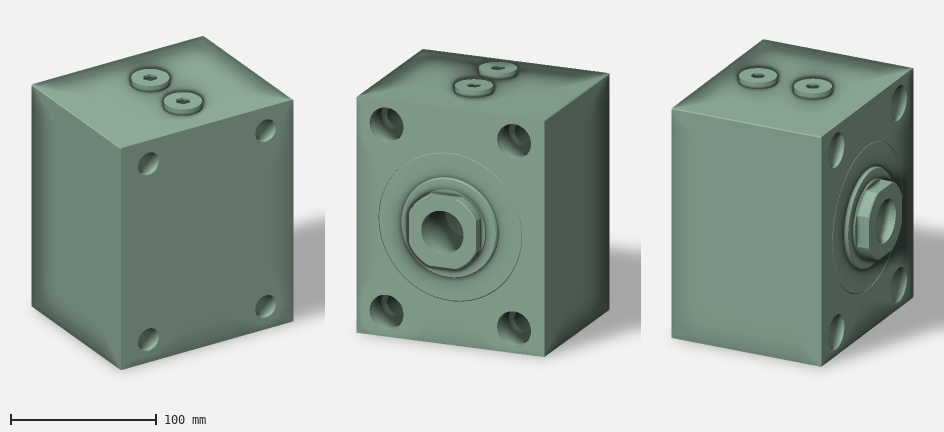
import cadquery as cq
import math


block_depth = 115.0
block_width = 140.0
block_height = 170.5
axis_height = 85.0
edge_chamfer = 0.7

bolt_spacing_y = 95.0
bolt_spacing_z = 135.0
bolt_hole_diameter = 17.0
counterbore_diameter = 25.2
counterbore_depth = 21.0

flange_diameter = 107.0
flange_depth = 21.0
flange_chamfer = 0.7
boss_diameter = 71.7
boss_height = 3.0
boss_chamfer_length = 1.4
boss_chamfer_width = 0.7

rod_diameter = 56.0
rod_protrusion = 14.0
rod_insertion = 70.0
neck_diameter = 55.0
neck_length = 9.5
neck_chamfer = 0.7
across_flats = 49.8
rod_bore_diameter = 31.5
rod_bore_depth = 42.0
drill_point_angle = 118.0

plug_diameter = 26.2
plug_height = 4.4
plug_spacing = 42.2
first_plug_x = 41.8
plug_seat_diameter = 28.0
plug_seat_depth = 0.5
hex_across_flats = 9.3
hex_depth = 3.0

block_top = block_height - axis_height
plug_seat_z = block_top - plug_seat_depth
plug_count = 2
plug_positions = [(first_plug_x + i * plug_spacing, 0) for i in range(plug_count)]


def x_cylinder(diameter, x_start, x_end):
    """Cylinder on the rod axis between two X positions."""
    return cq.Workplane("YZ", origin=(x_start, 0, 0)).circle(diameter / 2).extrude(x_end - x_start)


def make_housing():
    bottom_center = (block_depth / 2, 0, -axis_height)
    block = cq.Workplane("XY", origin=bottom_center).rect(block_depth, block_width).extrude(block_height)
    block = block.faces(">Z").edges("|X").chamfer(edge_chamfer)

    bolts = cq.Workplane("YZ").rarray(bolt_spacing_y, bolt_spacing_z, 2, 2)
    block = block.cut(bolts.circle(bolt_hole_diameter / 2).extrude(block_depth))
    block = block.cut(bolts.circle(counterbore_diameter / 2).extrude(counterbore_depth))

    block = block.cut(x_cylinder(flange_diameter, 0, flange_depth))
    block = block.cut(x_cylinder(rod_diameter, 0, rod_insertion))

    seats = cq.Workplane("XY", origin=(0, 0, plug_seat_z)).pushPoints(plug_positions)
    return block.cut(seats.circle(plug_seat_diameter / 2).extrude(plug_seat_depth))


def make_gland():
    flange = x_cylinder(flange_diameter, 0, flange_depth).faces("<X").chamfer(flange_chamfer)
    boss_radius = boss_diameter / 2
    boss = (
        cq.Workplane("XY")
        .moveTo(flange_depth, 0)
        .lineTo(-boss_height, 0)
        .lineTo(-boss_height, boss_radius - boss_chamfer_width)
        .lineTo(-boss_height + boss_chamfer_length, boss_radius)
        .lineTo(flange_depth, boss_radius)
        .close()
        .revolve(360, (0, 0, 0), (1, 0, 0))
    )
    return flange.union(boss).cut(x_cylinder(rod_diameter, -boss_height, flange_depth))


def make_rod():
    tip_x = -rod_protrusion
    shoulder_x = tip_x + neck_length
    shaft = x_cylinder(rod_diameter, shoulder_x, rod_insertion)

    neck = x_cylinder(neck_diameter, tip_x, shoulder_x).faces("<X").chamfer(neck_chamfer)
    flats = cq.Workplane("YZ", origin=(tip_x, 0, 0)).rect(across_flats, across_flats).extrude(neck_length)
    rod = shaft.union(neck.intersect(flats))

    bore_radius = rod_bore_diameter / 2
    point_length = bore_radius / math.tan(math.radians(drill_point_angle / 2))
    bore = (
        cq.Workplane("XY")
        .moveTo(tip_x, 0)
        .lineTo(tip_x, bore_radius)
        .lineTo(tip_x + rod_bore_depth, bore_radius)
        .lineTo(tip_x + rod_bore_depth + point_length, 0)
        .close()
        .revolve(360, (0, 0, 0), (1, 0, 0))
    )
    return rod.cut(bore)


def make_plug(x, y):
    plug_top = block_top + plug_height
    disc = cq.Workplane("XY", origin=(x, y, plug_seat_z)).circle(plug_diameter / 2)
    disc = disc.extrude(plug_top - plug_seat_z)
    corner_diameter = hex_across_flats / math.cos(math.pi / 6)
    socket = (
        cq.Workplane("XY", origin=(x, y, plug_top))
        .transformed(rotate=(0, 0, 90))
        .polygon(6, corner_diameter)
        .extrude(-hex_depth)
    )
    return disc.cut(socket)


housing = make_housing()
gland = make_gland()
rod = make_rod()
plugs = [make_plug(x, y) for x, y in plug_positions]

result = cq.Compound.makeCompound(
    [housing.val(), gland.val(), rod.val(), *[plug.val() for plug in plugs]]
)